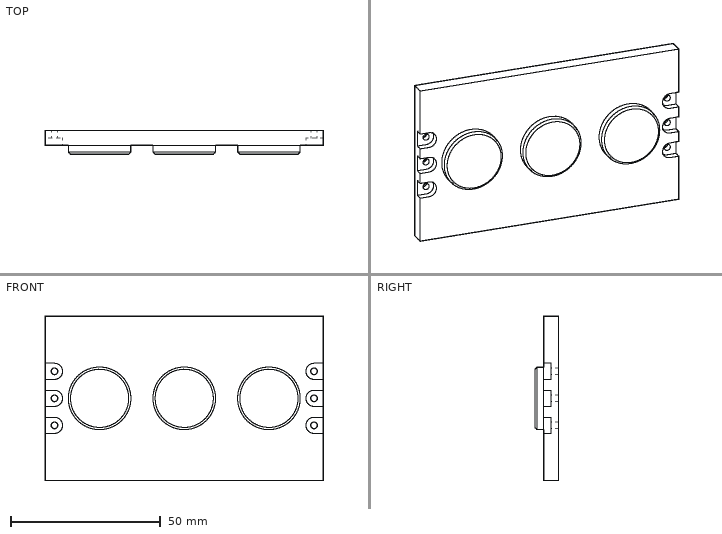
import cadquery as cq

plate_length = 93.0
plate_height = 55.0
plate_thickness = 5.0

pad_diameter = 20.9
pad_height = 3.0
pad_chamfer = 0.7
pad_spacing = 28.3
pad_count = 3

recess_width = 5.4
recess_depth = 2.5
hole_diameter = 2.1
hole_edge_distance = 3.2
hole_spacing = 9.0
holes_per_side = 3


def centred_positions(count, spacing):
    """Evenly spaced positions, symmetric about zero."""
    return [(i - (count - 1) / 2) * spacing for i in range(count)]


def front_plane(y):
    """Plane facing -Y, with local X and Y along global X and Z."""
    return cq.Workplane(cq.Plane(origin=(0, y, 0), xDir=(1, 0, 0), normal=(0, -1, 0)))


def make_plate():
    return front_plane(plate_thickness).rect(plate_length, plate_height).extrude(plate_thickness)


def make_pads():
    centres = [(x, 0) for x in centred_positions(pad_count, pad_spacing)]
    pads = front_plane(0).pushPoints(centres).circle(pad_diameter / 2).extrude(pad_height)
    return pads.faces("<Y").edges().chamfer(pad_chamfer)


def make_recesses(mounts):
    edge_centres = [(side * plate_length / 2, z) for side, z in mounts]
    slot_length = 2 * hole_edge_distance + recess_width
    slots = front_plane(recess_depth).pushPoints(edge_centres).slot2D(slot_length, recess_width)
    return slots.extrude(recess_depth)


def make_holes(mounts):
    hole_x = plate_length / 2 - hole_edge_distance
    centres = [(side * hole_x, z) for side, z in mounts]
    return front_plane(plate_thickness).pushPoints(centres).circle(hole_diameter / 2).extrude(plate_thickness)


mounts = [(side, z) for side in (-1, 1) for z in centred_positions(holes_per_side, hole_spacing)]
result = make_plate().union(make_pads()).cut(make_recesses(mounts)).cut(make_holes(mounts))